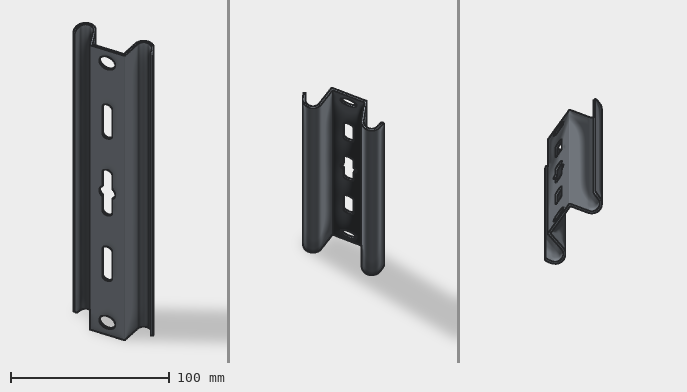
import math

import cadquery as cq

length = 250.0
width = 55.0
height = 18.0
sheet = 1.5

crown_x = 20.0
crown_outer_radius = 6.5
crown_inner_radius = crown_outer_radius - sheet
crown_y = height - crown_outer_radius
leg_slope = math.radians(14.0)
lip_slope = math.radians(16.0)
bend_radius = 0.5
lip_corner_radius = 3.5

hole_diameter = 11.0
hole_end_distance = 11.0
hole_z = length / 2 - hole_end_distance
slot_width = 6.8
side_slot_length = 30.0
side_slot_z = 62.5
centre_slot_length = 40.0

lip_tangent = lip_slope
crown_top = math.pi / 2
leg_tangent = math.pi - leg_slope

lip_length = (width / 2 - crown_x - crown_outer_radius * math.cos(lip_slope)) / math.sin(lip_slope)


def crown_point(radius, angle):
    """Point on a crown arc, with the angle measured from +X."""
    return (crown_x + radius * math.cos(angle), crown_y + radius * math.sin(angle))


def leg_point(radius, y):
    """Point at height y on the leg face that is tangent to the crown arc of this radius."""
    tangent_x, tangent_y = crown_point(radius, leg_tangent)
    return (tangent_x - (tangent_y - y) * math.tan(leg_slope), y)


def lip_tip(radius):
    """Free end of the lip face that is tangent to the crown arc of this radius."""
    tangent_x, tangent_y = crown_point(radius, lip_tangent)
    return (
        tangent_x + lip_length * math.sin(lip_slope),
        tangent_y - lip_length * math.cos(lip_slope),
    )


def half_section():
    """Constant-thickness section of one side, from the mid-plane out to the lip."""
    return (
        cq.Workplane("XY")
        .lineTo(*leg_point(crown_inner_radius, 0))
        .lineTo(*crown_point(crown_inner_radius, leg_tangent))
        .threePointArc(
            crown_point(crown_inner_radius, crown_top),
            crown_point(crown_inner_radius, lip_tangent),
        )
        .lineTo(*lip_tip(crown_inner_radius))
        .lineTo(*lip_tip(crown_outer_radius))
        .lineTo(*crown_point(crown_outer_radius, lip_tangent))
        .threePointArc(
            crown_point(crown_outer_radius, crown_top),
            crown_point(crown_outer_radius, leg_tangent),
        )
        .lineTo(*leg_point(crown_outer_radius, sheet))
        .lineTo(0, sheet)
        .close()
    )


def edge_nearest(body, point):
    return body.edges(cq.selectors.NearestToPointSelector(point))


def half_rail():
    """One side of the rail, with its bend eased and its lip corners rounded."""
    body = half_section().extrude(length / 2, both=True).clean()
    body = edge_nearest(body, (*leg_point(crown_inner_radius, 0), 0)).fillet(bend_radius)
    lip_edge_centre = lip_tip((crown_inner_radius + crown_outer_radius) / 2)
    for end_z in (-length / 2, length / 2):
        body = edge_nearest(body, (*lip_edge_centre, end_z)).fillet(lip_corner_radius)
    return body


def cut_slot(body, z, slot_length):
    """Cut an upright round-ended slot through the web."""
    outline = cq.Workplane("XZ").center(0, z).slot2D(slot_length, slot_width, 90)
    return body.cut(outline.extrude(-sheet))


def cut_hole(body, z):
    """Cut a round hole through the web."""
    outline = cq.Workplane("XZ").center(0, z).circle(hole_diameter / 2)
    return body.cut(outline.extrude(-sheet))


half = half_rail()
result = half.union(half.mirror("YZ")).clean()

for z in (-hole_z, 0, hole_z):
    result = cut_hole(result, z)
for z in (-side_slot_z, side_slot_z):
    result = cut_slot(result, z, side_slot_length)
result = cut_slot(result, 0, centre_slot_length)